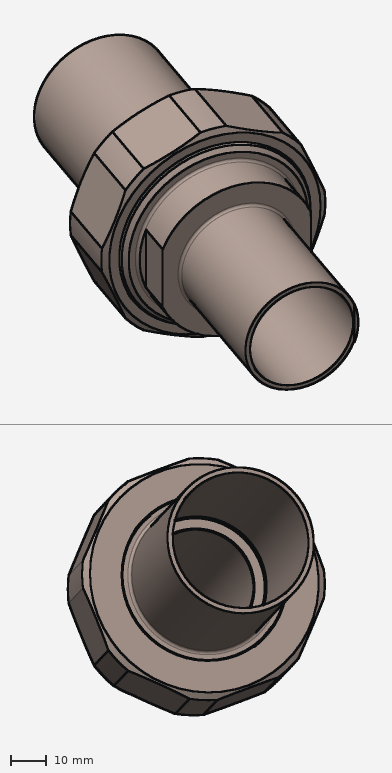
import cadquery as cq
import math


LARGE_PIPE_DIA = 42.0
LARGE_BORE_DIA = 39.0
LARGE_NECK_RADIUS = 1.0
LARGE_SEAT_DIA = 38.5
LARGE_SEAT_LENGTH = 1.3
SLEEVE_DIA = 47.0
SLEEVE_START = 52.5
FLANGE_DIA = 54.5
FLANGE_THICKNESS = 4.0

NUT_CORNER_DIA = 69.7
NUT_ACROSS_FLATS = 67.0
NUT_SIDES = 8
NUT_START = 52.3
NUT_END = 75.4
NUT_FACE_DIA = 65.7
NUT_LEFT_CHAMFER_LENGTH = 1.2
NUT_RIGHT_CHAMFER_LENGTH = 1.1
NUT_LIP_THICKNESS = 5.3
NUT_LIP_BORE_DIA = 47.5
NUT_SOCKET_DIA = 59.5

THREAD_DIA = 58.7
THREAD_CHAMFER_DIA = 55.8
THREAD_END = 77.7
SHOULDER_RADIUS = 0.8
COLLAR_DIA = 50.0
COLLAR_END = 90.0
COLLAR_ACROSS_FLATS = 46.0
COLLAR_FLAT_START = 78.9
SMALL_NECK_RADIUS = 0.8
SMALL_PIPE_DIA = 35.0
SMALL_BORE_DIA = 32.0
SMALL_BORE_CHAMFER = 0.3
TOTAL_LENGTH = 133.5
END_TAB_LENGTH = 0.4
END_TAB_INNER_Y = 16.3

FLANGE_START = NUT_START + NUT_LIP_THICKNESS
JOINT_X = FLANGE_START + FLANGE_THICKNESS


def revolve_about_x(stations):
    """Solid of revolution through (x, diameter) stations listed from left to right."""
    first_x = stations[0][0]
    last_x = stations[-1][0]
    profile = [(first_x, 0)] + [(x, dia / 2) for x, dia in stations] + [(last_x, 0)]
    return cq.Workplane("XY").polyline(profile).close().revolve(360, (0, 0, 0), (1, 0, 0))


def cylinder(dia, start, end):
    return revolve_about_x([(start, dia), (end, dia)])


def make_root_fillet(face_x, dia, radius, direction):
    """Ring with a concave outside, filling the corner between a cylinder and a flat face.

    The cylinder leaves the face toward +X when direction is 1 and toward -X when it is -1.
    The ring reaches one fillet radius below the cylinder's surface so that it joins solidly.
    """
    surface = dia / 2
    outer = surface + radius
    tangent_x = face_x + direction * radius
    arc_offset = radius * (1 - math.sqrt(0.5))
    return (
        cq.Workplane("XY")
        .moveTo(face_x, surface - radius)
        .lineTo(face_x, outer)
        .threePointArc((face_x + direction * arc_offset, surface + arc_offset), (tangent_x, surface))
        .lineTo(tangent_x, surface - radius)
        .close()
        .revolve(360, (0, 0, 0), (1, 0, 0))
    )


def make_large_tailpiece():
    """Thin pipe with a flange held behind the lip of the nut."""
    body = revolve_about_x([
        (0, LARGE_PIPE_DIA),
        (SLEEVE_START, LARGE_PIPE_DIA),
        (SLEEVE_START, SLEEVE_DIA),
        (FLANGE_START, SLEEVE_DIA),
        (FLANGE_START, FLANGE_DIA),
        (JOINT_X, FLANGE_DIA),
    ])
    body = body.union(make_root_fillet(SLEEVE_START, LARGE_PIPE_DIA, LARGE_NECK_RADIUS, -1))
    seat_start = JOINT_X - LARGE_SEAT_LENGTH
    bore = cylinder(LARGE_BORE_DIA, 0, seat_start)
    seat_bore = cylinder(LARGE_SEAT_DIA, seat_start, JOINT_X)
    return body.cut(bore).cut(seat_bore)


def make_nut():
    """Octagonal nut with corners turned round and both ends chamfered."""
    octagon_dia = NUT_ACROSS_FLATS / math.cos(math.pi / NUT_SIDES)
    octagon = (
        cq.Workplane("YZ", origin=(NUT_START, 0, 0))
        .polygon(NUT_SIDES, octagon_dia)
        .extrude(NUT_END - NUT_START)
    )
    turned_envelope = revolve_about_x([
        (NUT_START, NUT_FACE_DIA),
        (NUT_START + NUT_LEFT_CHAMFER_LENGTH, NUT_CORNER_DIA),
        (NUT_END - NUT_RIGHT_CHAMFER_LENGTH, NUT_CORNER_DIA),
        (NUT_END, NUT_FACE_DIA),
    ])
    lip_bore = cylinder(NUT_LIP_BORE_DIA, NUT_START, FLANGE_START)
    socket = cylinder(NUT_SOCKET_DIA, FLANGE_START, NUT_END)
    return octagon.intersect(turned_envelope).cut(lip_bore).cut(socket)


def cut_wrench_flats(body):
    """Cut two opposite flats on the +Y and -Y sides of the collar."""
    flat_length = COLLAR_END - COLLAR_FLAT_START
    flat_depth = (COLLAR_DIA - COLLAR_ACROSS_FLATS) / 2
    for side in (-1, 1):
        cutter = cq.Workplane("XY").box(flat_length, flat_depth, COLLAR_DIA).translate((
            (COLLAR_FLAT_START + COLLAR_END) / 2,
            side * (COLLAR_ACROSS_FLATS + flat_depth) / 2,
            0,
        ))
        body = body.cut(cutter)
    return body


def make_end_tab(pipe_end):
    """Thin circular segment standing on the pipe's end face at its +Y side."""
    disc = cylinder(SMALL_PIPE_DIA, pipe_end, TOTAL_LENGTH)
    segment_block = cq.Workplane("XY").box(
        END_TAB_LENGTH, SMALL_PIPE_DIA, SMALL_PIPE_DIA
    ).translate((pipe_end + END_TAB_LENGTH / 2, END_TAB_INNER_Y + SMALL_PIPE_DIA / 2, 0))
    return disc.intersect(segment_block)


def make_small_tailpiece():
    """Screwed end, flatted collar and narrow pipe in one piece."""
    pipe_end = TOTAL_LENGTH - END_TAB_LENGTH
    thread_chamfer = (THREAD_DIA - THREAD_CHAMFER_DIA) / 2
    body = revolve_about_x([
        (JOINT_X, THREAD_DIA),
        (THREAD_END - thread_chamfer, THREAD_DIA),
        (THREAD_END, THREAD_CHAMFER_DIA),
        (THREAD_END, COLLAR_DIA),
        (COLLAR_END, COLLAR_DIA),
        (COLLAR_END, SMALL_PIPE_DIA),
        (pipe_end, SMALL_PIPE_DIA),
    ])
    body = cut_wrench_flats(body).union(make_end_tab(pipe_end))
    body = body.union(make_root_fillet(THREAD_END, COLLAR_DIA, SHOULDER_RADIUS, 1))
    body = body.union(make_root_fillet(COLLAR_END, SMALL_PIPE_DIA, SMALL_NECK_RADIUS, 1))
    bore = revolve_about_x([
        (JOINT_X, SMALL_BORE_DIA + 2 * SMALL_BORE_CHAMFER),
        (JOINT_X + SMALL_BORE_CHAMFER, SMALL_BORE_DIA),
        (TOTAL_LENGTH, SMALL_BORE_DIA),
    ])
    return body.cut(bore)


large_tailpiece = make_large_tailpiece()
nut = make_nut()
small_tailpiece = make_small_tailpiece()

result = cq.Compound.makeCompound([large_tailpiece.val(), nut.val(), small_tailpiece.val()])